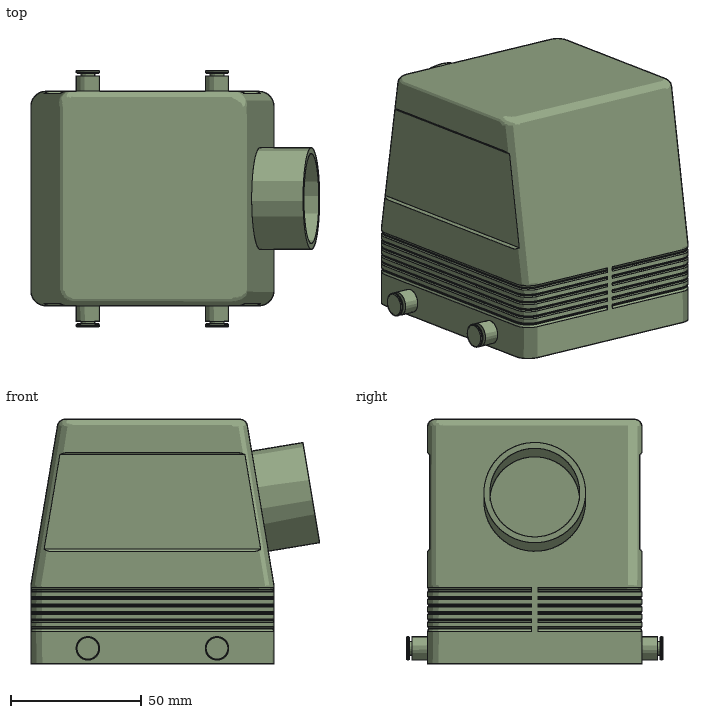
import cadquery as cq
import math

BASE_LENGTH = 93.4
BASE_WIDTH = 82.4
HEIGHT = 94.0
OVERALL_LENGTH = 111.0
OVERALL_WIDTH = 98.5
CORNER_RADIUS = 5.9
TOP_FILLET = 3.0
TAPER_START = 30.2
TAPER_ANGLE = math.atan(1 / 6)

GRIP_BOTTOM = 12.5
GRIP_TOP = 29.4
GROOVE_COUNT = 6
GROOVE_DEPTH = 0.4
GROOVE_HEIGHT = 1.2
END_GROOVE_HEIGHT = 1.8
FLANK_HEIGHT = 0.4
END_FLANK_HEIGHT = 0.9
GRIP_PAD_WIDTH = 2.5

PANEL_BOTTOM = 43.2
PANEL_TOP = 81.2
PANEL_DEPTH = 0.9

TUBE_DIAMETER = 39.1
TUBE_BORE = 34.5
TUBE_END_HEIGHT = 65.8

PIN_SPACING = 49.6
PIN_HEIGHT = 6.0
PIN_DIAMETER = 9.0
PIN_NECK_DIAMETER = 5.4
PIN_HEAD_THICKNESS = 1.2
PIN_NECK_LENGTH = 0.9
PIN_BACK_CHAMFER = 0.4
PIN_TIP_CHAMFER = 0.3

half_length = BASE_LENGTH / 2
half_width = BASE_WIDTH / 2
taper_rise = HEIGHT - TAPER_START
taper_run = taper_rise * math.tan(TAPER_ANGLE)


def make_hood():
    """Straight base below a body whose X walls lean inward, with rounded corners and top."""
    outline = [
        (-half_length, 0),
        (half_length, 0),
        (half_length, TAPER_START),
        (half_length - taper_run, HEIGHT),
        (-half_length + taper_run, HEIGHT),
        (-half_length, TAPER_START),
    ]
    hood = cq.Workplane("XZ").polyline(outline).close().extrude(half_width, both=True)
    hood = hood.edges("not(|Y or |X)").fillet(CORNER_RADIUS)
    return hood.faces(">Z").edges().fillet(TOP_FILLET)


def make_groove(bottom, height, lower_flank, upper_flank):
    """Ring cutter with sloping flanks that follows the rounded base outline."""
    path = (
        cq.Workplane("XY", origin=(0, 0, bottom))
        .rect(BASE_LENGTH, BASE_WIDTH)
        .extrude(height)
        .edges("|Z")
        .fillet(CORNER_RADIUS)
        .faces("<Z")
        .wires()
    )
    profile = [
        (half_width, bottom),
        (half_width - GROOVE_DEPTH, bottom + lower_flank),
        (half_width - GROOVE_DEPTH, bottom + height - upper_flank),
        (half_width, bottom + height),
    ]
    return cq.Workplane("YZ").polyline(profile).close().sweep(path)


def cut_grip_grooves(hood):
    """Cut the stacked grooves, leaving an uncut pad in the middle of each X side."""
    pads = cq.Workplane("XY").box(OVERALL_LENGTH, GRIP_PAD_WIDTH, HEIGHT, centered=(True, True, False))
    inner_count = GROOVE_COUNT - 2
    ridge_count = GROOVE_COUNT - 1
    groove_total = 2 * END_GROOVE_HEIGHT + inner_count * GROOVE_HEIGHT
    ridge_height = (GRIP_TOP - GRIP_BOTTOM - groove_total) / ridge_count
    bottom = GRIP_BOTTOM
    for index in range(GROOVE_COUNT):
        is_first = index == 0
        is_last = index == GROOVE_COUNT - 1
        height = END_GROOVE_HEIGHT if is_first or is_last else GROOVE_HEIGHT
        lower_flank = END_FLANK_HEIGHT if is_first else FLANK_HEIGHT
        upper_flank = END_FLANK_HEIGHT if is_last else FLANK_HEIGHT
        groove = make_groove(bottom, height, lower_flank, upper_flank)
        hood = hood.cut(groove.cut(pads))
        bottom += height + ridge_height
    return hood


def make_side_panel(side):
    """Shallow full-length recess with 45 degree upper and lower edges on the Y side given by side."""
    outer = side * half_width
    floor = side * (half_width - PANEL_DEPTH)
    profile = [
        (outer, PANEL_BOTTOM),
        (floor, PANEL_BOTTOM + PANEL_DEPTH),
        (floor, PANEL_TOP - PANEL_DEPTH),
        (outer, PANEL_TOP),
    ]
    return cq.Workplane("YZ").polyline(profile).close().extrude(half_length, both=True)


def add_cable_tube(hood):
    """Add the sloping tube, bored through to the plane of the leaning wall."""
    lean_x = math.cos(TAPER_ANGLE)
    lean_z = math.sin(TAPER_ANGLE)
    end_x = OVERALL_LENGTH - half_length - TUBE_DIAMETER / 2 * lean_z
    wall_x = half_length - (TUBE_END_HEIGHT - TAPER_START) * math.tan(TAPER_ANGLE)
    tube_length = (end_x - wall_x) * lean_x
    end_plane = cq.Plane(
        origin=(end_x, 0, TUBE_END_HEIGHT),
        xDir=(0, 1, 0),
        normal=(-lean_x, 0, -lean_z),
    )
    tube = cq.Workplane(end_plane).circle(TUBE_DIAMETER / 2).extrude(tube_length)
    bore = cq.Workplane(end_plane).circle(TUBE_BORE / 2).extrude(tube_length)
    return hood.union(tube).cut(bore)


def make_pin(x, side):
    """Round pin with a grooved neck and a flat head, turned about an axis along Y."""
    radius = PIN_DIAMETER / 2
    neck_radius = PIN_NECK_DIAMETER / 2
    tip = OVERALL_WIDTH / 2
    head_back = tip - PIN_HEAD_THICKNESS
    shank_end = head_back - PIN_NECK_LENGTH
    root = half_width - CORNER_RADIUS
    profile = [
        (0, root),
        (radius, root),
        (radius, shank_end),
        (neck_radius, shank_end),
        (neck_radius, head_back),
        (radius - PIN_BACK_CHAMFER, head_back),
        (radius, head_back + PIN_BACK_CHAMFER),
        (radius, tip - PIN_TIP_CHAMFER),
        (radius - PIN_TIP_CHAMFER, tip),
        (0, tip),
    ]
    pin = cq.Workplane("XY").polyline(profile).close().revolve(360, (0, 0), (0, 1))
    if side < 0:
        pin = pin.mirror("XZ")
    return pin.translate((x, 0, PIN_HEIGHT))


result = cut_grip_grooves(make_hood())
result = add_cable_tube(result)
for side in (-1, 1):
    result = result.cut(make_side_panel(side))
    for pin_x in (-PIN_SPACING / 2, PIN_SPACING / 2):
        result = result.union(make_pin(pin_x, side))